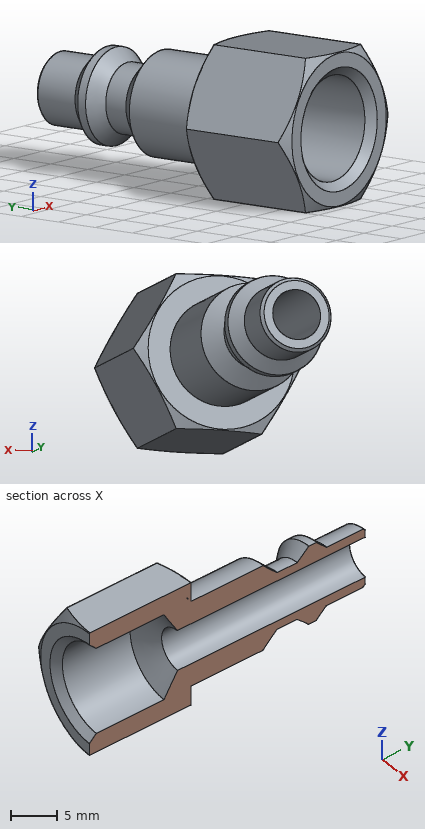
import cadquery as cq
import math

across_flats = 17.0
hex_length = 14.02
end_face_radius = 8.4
hex_chamfer_angle = 30
corner_radius = across_flats / math.sqrt(3)
hex_chamfer_length = (corner_radius - end_face_radius) * math.tan(math.radians(hex_chamfer_angle))

total_length = 38
body_radius = 5.9
body_end = 23.9
neck_radius = 3.95
neck_start = 25.85
neck_end = 28.58
collar_radius = 5.45
collar_start = 30.17
collar_end = 31.25
tip_radius = 4.05
tip_start = 32.65
tip_chamfer = 0.35

mouth_radius = 6.8
socket_radius = 5.85
mouth_chamfer = mouth_radius - socket_radius
socket_depth = 10.25
passage_radius = 2.75
drill_point_angle = 118
drill_point_length = (socket_radius - passage_radius) / math.tan(math.radians(drill_point_angle / 2))


def revolve_profile(points):
    """Revolve a closed (radius, Y) outline about the Y axis."""
    return cq.Workplane("XY").polyline(points).close().revolve(360, (0, 0, 0), (0, 1, 0))


def make_hex():
    """Hexagonal prism whose corners are turned down to a cone at both ends."""
    prism = (
        cq.Workplane("XZ")
        .polygon(6, 2 * corner_radius)
        .extrude(-hex_length)
    )
    turned_envelope = revolve_profile([
        (0, 0),
        (end_face_radius, 0),
        (corner_radius, hex_chamfer_length),
        (corner_radius, hex_length - hex_chamfer_length),
        (end_face_radius, hex_length),
        (0, hex_length),
    ])
    return prism.intersect(turned_envelope)


def make_stem():
    """Round body, neck, locking collar and chamfered tip."""
    root = hex_length / 2
    return revolve_profile([
        (0, root),
        (body_radius, root),
        (body_radius, body_end),
        (neck_radius, neck_start),
        (neck_radius, neck_end),
        (collar_radius, collar_start),
        (collar_radius, collar_end),
        (tip_radius, tip_start),
        (tip_radius, total_length - tip_chamfer),
        (tip_radius - tip_chamfer, total_length),
        (0, total_length),
    ])


def make_bore():
    """Chamfered socket with a conical floor leading into the air passage."""
    return revolve_profile([
        (0, 0),
        (mouth_radius, 0),
        (socket_radius, mouth_chamfer),
        (socket_radius, socket_depth),
        (passage_radius, socket_depth + drill_point_length),
        (passage_radius, total_length),
        (0, total_length),
    ])


result = make_hex().union(make_stem()).cut(make_bore())